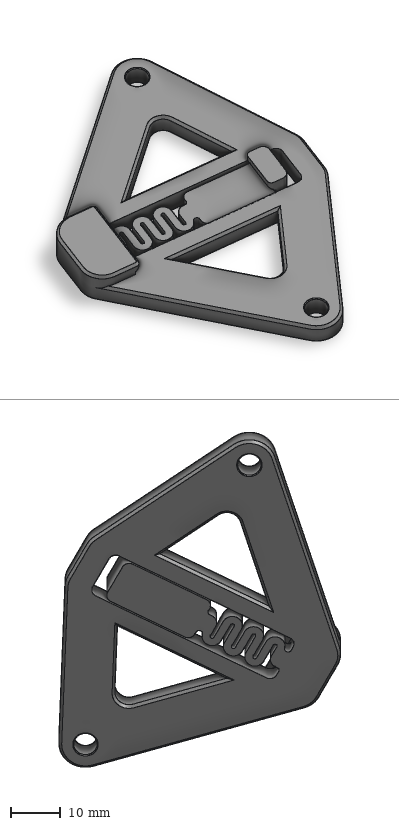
import cadquery as cq
import math

plate_thickness = 4.7
edge_chamfer = 0.6
ear_x = 35.05
ear_y = 36.5
ear_radius = 40.4 - ear_x
ear_hole_diameter = 4.7
ear_hole_chamfer = 0.2
plate_depth = 56.9
corner_radius = 5.0
corner_x = 4.0

frame_width = 10.8
window_inner_x = corner_x + corner_radius
window_corner_radius = 2.8

slot_half_width = 5.0
slot_front_y = 9.85
slot_back_y = 51.6
slot_corner_radius = 1.5

slider_top = 3.95
slider_half_width = 4.7
slider_front_y = 28.6
slider_back_y = 48.4
slider_corner_radius = 1.5
full_height = 7.6
hook_front_y = 43.7
hook_front_corner_radius = 1.0
hook_nose_bottom = 6.2
hook_overhang = 1.5

bar_width = 1.6
bar_gap = 0.8
loop_count = 6
loop_x = 2.0
neck_half_width = 2.0
neck_blend_radius = 0.65
neck_corner_radius = 1.8
loop_pitch = bar_width + bar_gap
loop_inner_radius = bar_gap / 2
loop_outer_radius = loop_inner_radius + bar_width
spring_middle_y = (slot_front_y + slider_front_y) / 2
top_loop_y = spring_middle_y + (loop_count - 1) / 2 * loop_pitch

pad_half_width = window_inner_x
pad_back_y = 11.1
pad_back_corner_radius = 1.0
pad_nose_bottom = 6.7


def box(x_min, x_max, y_min, y_max, z_min, z_max):
    return cq.Workplane("XY").box(
        x_max - x_min, y_max - y_min, z_max - z_min, centered=False
    ).translate((x_min, y_min, z_min))


def plate_outline():
    """Closed outline of straight sides tangent to six corner circles, taken clockwise."""
    back_corner_y = plate_depth - corner_radius
    corners = [
        (-corner_x, corner_radius, corner_radius),
        (-ear_x, ear_y, ear_radius),
        (-corner_x, back_corner_y, corner_radius),
        (corner_x, back_corner_y, corner_radius),
        (ear_x, ear_y, ear_radius),
        (corner_x, corner_radius, corner_radius),
    ]
    normals = []
    for (x, y, radius), (next_x, next_y, next_radius) in zip(corners, corners[1:] + corners[:1]):
        heading = math.atan2(next_y - y, next_x - x)
        spread = math.acos((radius - next_radius) / math.hypot(next_x - x, next_y - y))
        normals.append(heading + spread)

    def on_circle(corner, angle):
        x, y, radius = corner
        return (x + radius * math.cos(angle), y + radius * math.sin(angle))

    outline = cq.Workplane("XY").moveTo(*on_circle(corners[0], normals[-1]))
    for index, corner in enumerate(corners):
        leave = normals[index]
        turn = (normals[index - 1] - leave) % (2 * math.pi)
        outline = outline.threePointArc(on_circle(corner, leave + turn / 2), on_circle(corner, leave))
        if index < len(corners) - 1:
            outline = outline.lineTo(*on_circle(corners[index + 1], leave))
    return outline.close()


def make_window():
    """Left window: the plate outline moved inward, cut off beside the slot."""
    inset = plate_outline().offset2D(-frame_width).extrude(plate_thickness)
    side = box(-ear_x, -window_inner_x, 0, plate_depth, 0, plate_thickness)
    window = inset.intersect(side)
    return window.edges("|Z").edges("<X").fillet(window_corner_radius)


def make_plate():
    window = make_window()
    plate = plate_outline().extrude(plate_thickness)
    plate = plate.cut(window).cut(window.mirror("YZ"))
    plate = plate.faces("<Z or >Z").chamfer(edge_chamfer)
    plate = (
        plate.faces(">Z")
        .workplane(origin=(0, 0, plate_thickness))
        .pushPoints([(-ear_x, ear_y), (ear_x, ear_y)])
        .hole(ear_hole_diameter)
    )
    plate = plate.edges("%CIRCLE").edges(cq.selectors.RadiusNthSelector(0)).chamfer(ear_hole_chamfer)
    slot = box(
        -slot_half_width, slot_half_width, slot_front_y, slot_back_y, 0, plate_thickness
    ).edges("|Z").fillet(slot_corner_radius)
    return plate.cut(slot)


def make_undercut(nose_y, wall_y, nose_bottom):
    """Cutter that slopes at 45 degrees from a nose back to an upright wall."""
    slope_bottom = nose_bottom - abs(nose_y - wall_y)
    return (
        cq.Workplane("YZ")
        .moveTo(nose_y, 0)
        .lineTo(wall_y, 0)
        .lineTo(wall_y, slope_bottom)
        .lineTo(nose_y, nose_bottom)
        .close()
        .extrude(pad_half_width, both=True)
    )


def make_pad():
    """Pad whose front corners follow the plate's front corner circles."""
    front_x = pad_half_width - corner_radius
    arc_inset = corner_radius * (1 - math.sqrt(0.5))
    pad = (
        cq.Workplane("XY")
        .workplane(offset=edge_chamfer)
        .moveTo(front_x, 0)
        .lineTo(-front_x, 0)
        .threePointArc((-pad_half_width + arc_inset, arc_inset), (-pad_half_width, corner_radius))
        .lineTo(-pad_half_width, pad_back_y)
        .lineTo(pad_half_width, pad_back_y)
        .lineTo(pad_half_width, corner_radius)
        .threePointArc((pad_half_width - arc_inset, arc_inset), (front_x, 0))
        .close()
        .extrude(full_height - edge_chamfer)
    )
    pad = pad.edges("|Z and >Y").fillet(pad_back_corner_radius)
    pad = pad.faces(">Z").chamfer(edge_chamfer)
    undercut = make_undercut(pad_back_y, slot_front_y, pad_nose_bottom)
    return pad.cut(undercut)


def make_slider():
    slider = box(
        -slider_half_width, slider_half_width, slider_front_y, slider_back_y, 0, slider_top
    ).edges("|Z").fillet(slider_corner_radius)
    hook = box(-slider_half_width, slider_half_width, hook_front_y, slider_back_y, 0, full_height)
    hook = hook.edges("|Z and >Y").fillet(slider_corner_radius)
    hook = hook.edges("|Z and <Y").fillet(hook_front_corner_radius)
    undercut = make_undercut(hook_front_y, hook_front_y + hook_overhang, hook_nose_bottom)
    return slider.union(hook.cut(undercut))


def make_loop(side, middle_y):
    """One U-turn of the spring on the given side (+1 right, -1 left), with its half bars."""
    def half_disc(radius):
        return (
            cq.Workplane("XY")
            .moveTo(0, middle_y - radius)
            .lineTo(side * loop_x, middle_y - radius)
            .threePointArc((side * (loop_x + radius), middle_y), (side * loop_x, middle_y + radius))
            .lineTo(0, middle_y + radius)
            .close()
            .extrude(slider_top)
        )
    return half_disc(loop_outer_radius).cut(half_disc(loop_inner_radius))


def make_neck():
    """Joint between the slider and the top loop, blended into both on the loop's side."""
    top = slider_front_y
    bottom = top_loop_y + loop_inner_radius
    left, right = -neck_half_width, neck_half_width
    blend = neck_blend_radius
    corner = neck_corner_radius
    arc_inset = 1 - math.sqrt(0.5)
    blend_x = right + blend
    blend_angle = math.acos((blend_x - loop_x) / (loop_outer_radius + blend))
    blend_y = top_loop_y + (loop_outer_radius + blend) * math.sin(blend_angle)
    touch_x = loop_x + loop_outer_radius * math.cos(blend_angle)
    touch_y = top_loop_y + loop_outer_radius * math.sin(blend_angle)
    blend_middle_x = blend_x - blend * math.cos(blend_angle / 2)
    blend_middle_y = blend_y - blend * math.sin(blend_angle / 2)
    return (
        cq.Workplane("XY")
        .moveTo(left - blend, top)
        .threePointArc((left - blend * arc_inset, top - blend * arc_inset), (left, top - blend))
        .lineTo(left, bottom + corner)
        .threePointArc(
            (left + corner * arc_inset, bottom + corner * arc_inset), (left + corner, bottom)
        )
        .lineTo(loop_x, bottom)
        .lineTo(touch_x, touch_y)
        .threePointArc((blend_middle_x, blend_middle_y), (right, blend_y))
        .lineTo(right, top - blend)
        .threePointArc((right + blend * arc_inset, top - blend * arc_inset), (right + blend, top))
        .close()
        .extrude(slider_top)
    )


def make_spring():
    neck = make_neck()
    spring = neck.union(neck.rotate((0, spring_middle_y, 0), (0, spring_middle_y, 1), 180))
    for index in range(loop_count):
        side = 1 if index % 2 == 0 else -1
        spring = spring.union(make_loop(side, top_loop_y - index * loop_pitch))
    return spring


result = make_plate().union(make_pad()).union(make_slider()).union(make_spring())